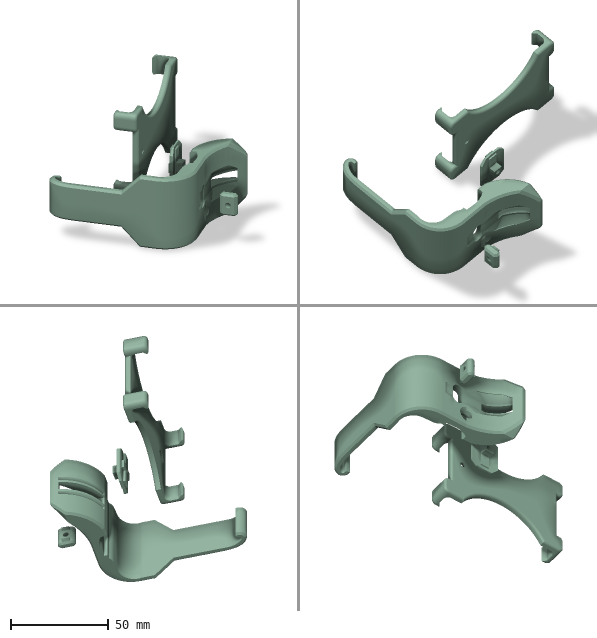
import cadquery as cq
import math


PIN_HOLE_DIA = 3.0

HOLDER_LENGTH = 75.8
HOLDER_TOP_Y = 127.0
HOLDER_MID_Y = HOLDER_TOP_Y - HOLDER_LENGTH / 2
HOLDER_MID_Z = 4.0
HOLDER_HEIGHT = 50.0
HOLDER_BACK_X = 33.6
HOLDER_FRONT_X = 20.8
PLATE_THICKNESS = 3.2
PLATE_FACE_X = HOLDER_BACK_X - PLATE_THICKNESS
PLATE_LENGTH = 67.8
CLAW_HEIGHT = 10.3
CLAW_THICKNESS = 3.3
CLAW_ROUND = 2.9
CLAW_TIP_ROUND = 1.9
CLAW_ROOT_RADIUS = 2.8
LIP_REACH = 5.2
LIP_RIDGE_INSET = 0.9
LIP_END_INSET = 2.8
BACK_EDGE_ROUND = 1.3
WAIST_RADIUS = 30.0
WAIST_CENTRE_OFFSET = 41.0
HOLDER_HOLE_Y = 62.5
HOLDER_SINK_DIA = 7.2

LATCH_MID_Y = 63.0
LATCH_MID_Z = -1.7
LATCH_WIDTH = 16.1
LATCH_HEIGHT = 23.9
LATCH_FACE_X = 50.2
LATCH_EDGE_THICKNESS = 2.0
LATCH_MID_THICKNESS = 1.3
LATCH_CORNER = 3.3
LATCH_EDGE_ROUND = 0.9
CROSS_HEIGHT = 20.0
CROSS_BAR = 5.1
CROSS_SPAN = 10.4
CROSS_RISE = 1.3
BOLT_END_X = 55.7

LIMB_THICKNESS = 3.3
LIMB_HALF_HEIGHT = 10.0
GRIP_HALF_HEIGHT = 20.0
FLARE_START_X = 40.4
BACK_X = 76.4
ELBOW_RADIUS = 17.3
HORN_BEND_X = 83.2
HOLLOW_RADIUS = 26.5
HOLLOW_START_Y = 33.0
HORN_CENTRE = (90.4, 34.8)
HORN_RADIUS = 25.4
HORN_TIP_X = 90.8
HORN_LEFT_X = 66.3
HORN_LEFT_END_Y = 42.5
HORN_BASE_Y = 37.5
ARM_CHAMFER = 1.1
SEAT_STEP_Y = 23.7
SLOT_HALF_HEIGHT = 2.5
SLOT_START_Y = 42.8
SLOT_NEAR_X = 86.8
SLOT_NEAR_Y = 54.7
SLOT_FAR_X = 86.0
GROOVE_Z = 5.1
GROOVE_WIDTH = 2.3
GROOVE_DEPTH = 1.1
POCKET_HALF_HEIGHT = 8.1
POCKET_FLOOR_HALF_HEIGHT = 3.8
POCKET_DEPTH = 3.2
OBLONG_Y = 27.7
OBLONG_WIDTH = 6.3
OBLONG_LENGTH = 12.5
SCREW_Y = 34.0
SCREW_Z = -11.5
SCREW_DIA = 5.1
SCREW_INNER_SINK_DIA = 6.9
SCREW_OUTER_SINK_DIA = 10.2

BUTTON_MID_X = 92.0
BUTTON_MID_Z = 0.5
BUTTON_WIDTH = 9.4
BUTTON_HEIGHT = 12.0
BUTTON_FRONT_Y = 19.7
BUTTON_BACK_Y = 24.0
BUTTON_ROUND = 1.9
BUTTON_BEVEL = 1.5
BUTTON_END_CHAMFER = 1.0
BARB_WIDTH = 4.2
BARB_TIP_Y = 25.5
BARB_THICKNESS = 1.8
BARB_SPACING = 8.1


def cone_x(x, y, z, dia, direction):
    """Right-angled countersink, widest at x, narrowing along +X or -X."""
    radius = dia / 2
    return cq.Workplane(cq.Solid.makeCone(radius, 0, radius, cq.Vector(x, y, z), cq.Vector(direction, 0, 0)))


def block(x0, x1, y0, y1, z0, z1):
    return cq.Workplane("XY").box(x1 - x0, y1 - y0, z1 - z0, centered=False).translate((x0, y0, z0))


def make_claw():
    """One claw at the +Y end, centred on Z = 0: a wall with an inward lip and a filleted root."""
    outer = HOLDER_TOP_Y
    inner = outer - CLAW_THICKNESS
    root = inner - CLAW_ROOT_RADIUS
    root_mid = CLAW_ROOT_RADIUS * (1 - math.sqrt(0.5))
    claw = (
        cq.Workplane("XY")
        .moveTo(HOLDER_BACK_X, outer)
        .lineTo(HOLDER_FRONT_X, outer)
        .lineTo(HOLDER_FRONT_X, outer - LIP_REACH + LIP_RIDGE_INSET)
        .lineTo(HOLDER_FRONT_X + LIP_RIDGE_INSET, outer - LIP_REACH)
        .lineTo(HOLDER_FRONT_X + LIP_END_INSET, inner)
        .lineTo(PLATE_FACE_X - CLAW_ROOT_RADIUS, inner)
        .threePointArc((PLATE_FACE_X - root_mid, inner - root_mid), (PLATE_FACE_X, root))
        .lineTo(HOLDER_BACK_X, root)
        .close()
        .extrude(CLAW_HEIGHT / 2, both=True)
    )
    envelope = block(HOLDER_FRONT_X, HOLDER_BACK_X, HOLDER_MID_Y, outer, -CLAW_HEIGHT / 2, CLAW_HEIGHT / 2)
    envelope = envelope.faces(">Y").edges("|X").fillet(CLAW_ROUND)
    envelope = envelope.faces("<X").edges().fillet(CLAW_TIP_ROUND)
    return claw.intersect(envelope)


def make_holder():
    half_length = PLATE_LENGTH / 2
    half_height = HOLDER_HEIGHT / 2
    plate = block(PLATE_FACE_X, HOLDER_BACK_X, -half_length, half_length, -half_height, half_height)
    for side in (-1, 1):
        waist = cq.Workplane("YZ").center(0, side * WAIST_CENTRE_OFFSET).circle(WAIST_RADIUS)
        plate = plate.cut(waist.extrude(HOLDER_BACK_X))
    plate = plate.translate((0, HOLDER_MID_Y, 0))
    claw = make_claw()
    for side in (-1, 1):
        upright = claw.translate((0, 0, side * (HOLDER_HEIGHT - CLAW_HEIGHT) / 2))
        plate = plate.union(upright)
        plate = plate.union(upright.mirror("XZ").translate((0, 2 * HOLDER_MID_Y, 0)))
    plate = plate.faces(">X").edges().fillet(BACK_EDGE_ROUND)
    hole = cq.Workplane("YZ").center(HOLDER_HOLE_Y, 0).circle(PIN_HOLE_DIA / 2).extrude(HOLDER_BACK_X)
    sink = cone_x(PLATE_FACE_X, HOLDER_HOLE_Y, 0, HOLDER_SINK_DIA, 1)
    return plate.cut(hole).cut(sink).translate((0, 0, HOLDER_MID_Z))


def make_latch():
    """Plate with a hollowed back, a raised cross on its face and a bolt behind it."""
    half_width = LATCH_WIDTH / 2
    edge_x = LATCH_FACE_X + LATCH_EDGE_THICKNESS
    mid_x = LATCH_FACE_X + LATCH_MID_THICKNESS
    latch = (
        cq.Workplane("XY")
        .moveTo(LATCH_FACE_X, -half_width)
        .lineTo(LATCH_FACE_X, half_width)
        .lineTo(edge_x, half_width)
        .threePointArc((mid_x, 0), (edge_x, -half_width))
        .close()
        .extrude(LATCH_HEIGHT / 2, both=True)
    )
    latch = latch.edges("|X").chamfer(LATCH_CORNER)
    latch = latch.faces("<X").edges().fillet(LATCH_EDGE_ROUND)
    half_bar = CROSS_BAR / 2
    half_span = CROSS_SPAN / 2
    half_cross = CROSS_HEIGHT / 2
    face_x = LATCH_FACE_X - CROSS_RISE
    latch = latch.union(block(face_x, edge_x, -half_bar, half_bar, -half_cross, half_cross))
    latch = latch.union(block(face_x, mid_x, -half_span, half_span, -half_bar, half_bar))
    latch = latch.union(block(face_x, BOLT_END_X, -half_bar, half_bar, -half_bar, half_bar))
    latch = latch.cut(cq.Workplane("YZ").circle(PIN_HOLE_DIA / 2).extrude(BOLT_END_X))
    return latch.translate((0, LATCH_MID_Y, LATCH_MID_Z))


def trace_outside(path):
    """Outside of the arm, from the base of the horn round the elbow to the tip of the hook."""
    elbow_mid = ELBOW_RADIUS * (1 - math.sqrt(0.5))
    return (
        path.moveTo(HORN_LEFT_X, HORN_BASE_Y)
        .lineTo(HORN_LEFT_X, HORN_LEFT_END_Y)
        .threePointArc((75.0, 55.0), (90.5, 60.2))
        .lineTo(HORN_TIP_X, 58.2)
        .threePointArc((83.3, 50.8), (BACK_X, HOLLOW_START_Y))
        .lineTo(BACK_X, ELBOW_RADIUS)
        .threePointArc((BACK_X - elbow_mid, elbow_mid), (BACK_X - ELBOW_RADIUS, 0))
        .lineTo(17.0, 0)
        .tangentArcPoint((10.8, 0.3), relative=False)
        .tangentArcPoint((3.9, 2.3), relative=False)
        .tangentArcPoint((0, 7.9), relative=False)
        .threePointArc((1.4, 10.7), (5.2, 11.3))
    )


def trace_inside(path):
    """Inside of the arm, from the tip of the hook past the seat to the base of the horn."""
    return (
        path.lineTo(5.6, 8.9)
        .lineTo(3.5, 8.6)
        .threePointArc((2.9, 7.7), (3.3, 6.6))
        .threePointArc((7.0, 4.2), (11.4, LIMB_THICKNESS))
        .lineTo(57.1, LIMB_THICKNESS)
        .threePointArc((64.8, 5.2), (67.8, 11.0))
        .lineTo(68.2, 17.8)
        .threePointArc((68.7, 19.8), (69.8, 21.5))
        .lineTo(69.8, SEAT_STEP_Y)
        .lineTo(71.9, SEAT_STEP_Y)
        .lineTo(72.2, 29.8)
        .threePointArc((71.6, 33.8), (69.8, HORN_BASE_Y))
        .close()
    )


def make_arm_body():
    """Profile of the arm trimmed to its height outline, with the outer rims chamfered."""
    arm = trace_inside(trace_outside(cq.Workplane("XY"))).extrude(GRIP_HALF_HEIGHT, both=True)
    flare_end_x = FLARE_START_X + GRIP_HALF_HEIGHT - LIMB_HALF_HEIGHT
    tip_half_height = GRIP_HALF_HEIGHT - (HORN_TIP_X - HORN_BEND_X)
    upper = [
        (0, LIMB_HALF_HEIGHT),
        (FLARE_START_X, LIMB_HALF_HEIGHT),
        (flare_end_x, GRIP_HALF_HEIGHT),
        (HORN_BEND_X, GRIP_HALF_HEIGHT),
        (HORN_TIP_X, tip_half_height),
    ]
    lower = [(x, -z) for x, z in reversed(upper)]
    arm = arm.intersect(cq.Workplane("XZ").polyline(upper + lower).close().extrude(-HOLDER_TOP_Y))

    outside = trace_outside(cq.Workplane("XY")).wire().val()

    def is_outer_rim(edge):
        middle = edge.positionAt(0.5)
        foot = cq.Vertex.makeVertex(middle.x, middle.y, 0)
        return abs(middle.z) > 1.3 and outside.distance(foot) < 0.001

    rim = arm.edges().filter(is_outer_rim)
    return rim.chamfer(ARM_CHAMFER)


def ring(centre, profile):
    """Solid of revolution about a vertical axis; the profile is a list of (radius, z) points."""
    turned = cq.Workplane("XZ").polyline(profile).close().revolve(360, (0, 0), (0, 1))
    return turned.translate((centre[0], centre[1], 0))


def slot_plan(half_height):
    """Plan of the slot through the horn, raised to the given half height."""
    left = HORN_LEFT_X - 1.3
    plan = [
        (left, SLOT_START_Y),
        (SLOT_NEAR_X, SLOT_START_Y),
        (SLOT_NEAR_X, SLOT_NEAR_Y),
        (SLOT_FAR_X, HORN_CENTRE[1] + HORN_RADIUS),
        (left, HORN_CENTRE[1] + HORN_RADIUS),
    ]
    return cq.Workplane("XY").polyline(plan).close().extrude(half_height, both=True)


def cut_slot(arm):
    """Slot through the horn, with a V groove above and below it on the horn's rounded face."""
    arm = arm.cut(slot_plan(SLOT_HALF_HEIGHT))
    for middle in (-GROOVE_Z, GROOVE_Z):
        groove = ring(
            HORN_CENTRE,
            [
                (HORN_RADIUS + GROOVE_DEPTH, middle - GROOVE_WIDTH),
                (HORN_RADIUS - GROOVE_DEPTH, middle),
                (HORN_RADIUS + GROOVE_DEPTH, middle + GROOVE_WIDTH),
            ],
        )
        arm = arm.cut(groove.intersect(slot_plan(GRIP_HALF_HEIGHT)))
    return arm


def cut_pocket(arm):
    """Flared pocket around the slot in the hollow side of the horn, with clipped corners."""
    floor_radius = HOLLOW_RADIUS + POCKET_DEPTH
    flare = (POCKET_HALF_HEIGHT - POCKET_FLOOR_HALF_HEIGHT) / POCKET_DEPTH
    mouth_radius = HOLLOW_RADIUS - POCKET_DEPTH
    mouth_half_height = POCKET_HALF_HEIGHT + flare * POCKET_DEPTH
    flared = ring(
        (BACK_X + HOLLOW_RADIUS, HOLLOW_START_Y),
        [
            (mouth_radius, -mouth_half_height),
            (floor_radius, -POCKET_FLOOR_HALF_HEIGHT),
            (floor_radius, POCKET_FLOOR_HALF_HEIGHT),
            (mouth_radius, mouth_half_height),
        ],
    )
    upper = [
        (BACK_X - 0.4, 3.4),
        (BACK_X + 0.9, POCKET_HALF_HEIGHT),
        (HORN_BEND_X, POCKET_HALF_HEIGHT),
        (SLOT_NEAR_X, 5.1),
    ]
    lower = [(x, -z) for x, z in reversed(upper)]
    outline = cq.Workplane("XZ").polyline(upper + lower).close().extrude(-HOLDER_TOP_Y)
    return arm.cut(flared.intersect(outline))


def make_arm():
    arm = make_arm_body()
    arm = cut_pocket(cut_slot(arm))
    oblong = cq.Workplane("YZ").center(OBLONG_Y, 0).slot2D(OBLONG_LENGTH, OBLONG_WIDTH, 90)
    screw = cq.Workplane("YZ").center(SCREW_Y, SCREW_Z).circle(SCREW_DIA / 2)
    arm = arm.cut(oblong.extrude(HOLDER_TOP_Y)).cut(screw.extrude(HOLDER_TOP_Y))
    arm = arm.cut(cone_x(71.9, SCREW_Y, SCREW_Z, SCREW_INNER_SINK_DIA, 1))
    return arm.cut(cone_x(BACK_X, SCREW_Y, SCREW_Z, SCREW_OUTER_SINK_DIA, -1))


def make_button():
    half_width = BUTTON_WIDTH / 2
    button = (
        block(-half_width, half_width, BUTTON_FRONT_Y, BUTTON_BACK_Y, -BUTTON_HEIGHT / 2, BUTTON_HEIGHT / 2)
        .edges("|Z and >Y").fillet(BUTTON_ROUND)
        .edges("|Z and <Y").chamfer(BUTTON_BEVEL)
        .faces("|Z").edges().chamfer(BUTTON_END_CHAMFER)
    )
    for side in (-1, 1):
        middle = side * BARB_SPACING / 2
        barb = (
            cq.Workplane("YZ")
            .moveTo(BUTTON_BACK_Y, middle - BARB_THICKNESS / 2)
            .lineTo(BARB_TIP_Y, middle)
            .lineTo(BUTTON_BACK_Y, middle + BARB_THICKNESS / 2)
            .close()
            .extrude(BARB_WIDTH / 2, both=True)
        )
        button = button.union(barb)
    hole = cq.Workplane("XZ").circle(PIN_HOLE_DIA / 2).extrude(-HOLDER_TOP_Y)
    return button.cut(hole).translate((BUTTON_MID_X, 0, BUTTON_MID_Z))


holder = make_holder()
latch = make_latch()
arm = make_arm()
button = make_button()

result = cq.Compound.makeCompound([holder.val(), latch.val(), arm.val(), button.val()])